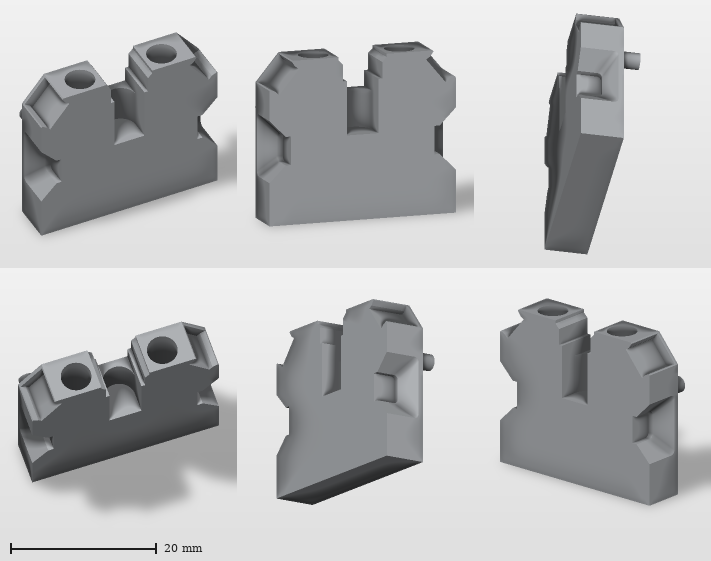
import cadquery as cq
import math

length = 27.0
height = 23.0
thickness = 6.0
half_length = length / 2
shoulder_y = 10.12
shoulder_z = 18.98
hole_x = 3.3

notch_mouth_half = 3.48
notch_upper_half = 2.84
notch_lower_half = 2.3
notch_lip_z = 22.55
notch_bevel_z = 21.9
notch_step_z = 19.58
notch_floor_z = 17.35
well_depth = 5.4

screw_radius = 2.1
screw_y = 6.25
screw_depth = 10.8

pin_radius = 1.15
pin_length = 2.5
pin_y = 11.48
pin_z = 14.93

recess_wall = 0.57
recess_lip = 0.22
recess_waist_inset = 0.43
recess_waist_depth = 0.8
recess_floor_inset = 0.32
recess_depth = 1.48

funnel_z = 10.4
funnel_mouth_x = 0.75
funnel_mouth_half = 4.35
funnel_throat_x = 2.62
funnel_throat_half = 2.0
funnel_corner = 0.62
funnel_taper_depth = 2.32
funnel_depth = 3.1

overrun = 1.35


def mirrored(solid):
    """The solid together with its mirror image across Y = 0."""
    return solid.union(solid.mirror("XZ"))


def make_body():
    right_half = [
        (half_length, 0),
        (half_length, shoulder_z),
        (shoulder_y, height),
        (notch_mouth_half, height),
        (notch_mouth_half, notch_lip_z),
        (notch_upper_half, notch_bevel_z),
        (notch_upper_half, notch_step_z),
        (notch_lower_half, notch_step_z),
        (notch_lower_half, notch_floor_z),
    ]
    left_half = [(-y, z) for y, z in reversed(right_half)]
    return cq.Workplane("YZ").polyline(right_half + left_half).close().extrude(thickness)


def make_pins():
    pin_centers = [(-pin_y, pin_z), (pin_y, pin_z)]
    return cq.Workplane("YZ").pushPoints(pin_centers).circle(pin_radius).extrude(-pin_length)


def make_screw_holes():
    centers = [(hole_x, -screw_y), (hole_x, screw_y)]
    top = cq.Workplane("XY").workplane(offset=height)
    return top.pushPoints(centers).circle(screw_radius).extrude(-screw_depth)


def make_notch_well():
    """Round-ended well below the notch floor, open towards +X."""
    return (
        cq.Workplane("XY")
        .workplane(offset=notch_floor_z)
        .moveTo(thickness + overrun, -notch_lower_half)
        .lineTo(hole_x, -notch_lower_half)
        .threePointArc((hole_x - notch_lower_half, 0), (hole_x, notch_lower_half))
        .lineTo(thickness + overrun, notch_lower_half)
        .close()
        .extrude(-well_depth)
    )


def make_label_recess():
    """Waisted groove, drawn along the +Y shoulder and square to it."""
    run = half_length - shoulder_y
    drop = height - shoulder_z
    slope_length = math.hypot(run, drop)
    along = (run / slope_length, -drop / slope_length)
    inward = (-drop / slope_length, -run / slope_length)

    def on_shoulder(distance, depth):
        return (
            shoulder_y + distance * along[0] + depth * inward[0],
            height + distance * along[1] + depth * inward[1],
        )

    upper_side = [
        (recess_lip, 0),
        (recess_waist_inset, recess_waist_depth),
        (recess_floor_inset, recess_depth),
    ]
    lower_side = [(slope_length - s, d) for s, d in reversed(upper_side)]
    outline = [on_shoulder(s, d) for s, d in upper_side + lower_side]
    return (
        cq.Workplane("YZ")
        .workplane(offset=recess_wall)
        .polyline(outline)
        .close()
        .extrude(thickness + overrun - recess_wall)
    )


def funnel_section(plane, inner_x, half_height):
    """Rectangle with two rounded corners on its inner side, running out at +X."""
    outer_x = thickness + overrun
    arc_x = inner_x + funnel_corner
    bottom = funnel_z - half_height
    top = funnel_z + half_height
    return (
        plane.moveTo(outer_x, bottom)
        .lineTo(arc_x, bottom)
        .radiusArc((inner_x, bottom + funnel_corner), funnel_corner)
        .lineTo(inner_x, top - funnel_corner)
        .radiusArc((arc_x, top), funnel_corner)
        .lineTo(outer_x, top)
        .close()
    )


def make_wire_funnel():
    """Tapered mouth and straight throat entering the -Y end face."""
    mouth_plane = cq.Workplane("XZ", origin=(0, -half_length, 0))
    mouth = funnel_section(mouth_plane, funnel_mouth_x, funnel_mouth_half)
    taper_end = mouth.workplane(offset=-funnel_taper_depth, origin=(0, -half_length, 0))
    taper = funnel_section(taper_end, funnel_throat_x, funnel_throat_half).loft(ruled=True)
    throat_plane = cq.Workplane("XZ", origin=(0, -half_length + funnel_taper_depth, 0))
    throat_section = funnel_section(throat_plane, funnel_throat_x, funnel_throat_half)
    throat = throat_section.extrude(funnel_taper_depth - funnel_depth)
    return taper.union(throat)


result = (
    make_body()
    .union(make_pins())
    .cut(make_screw_holes())
    .cut(make_notch_well())
    .cut(mirrored(make_label_recess()))
    .cut(mirrored(make_wire_funnel()))
)